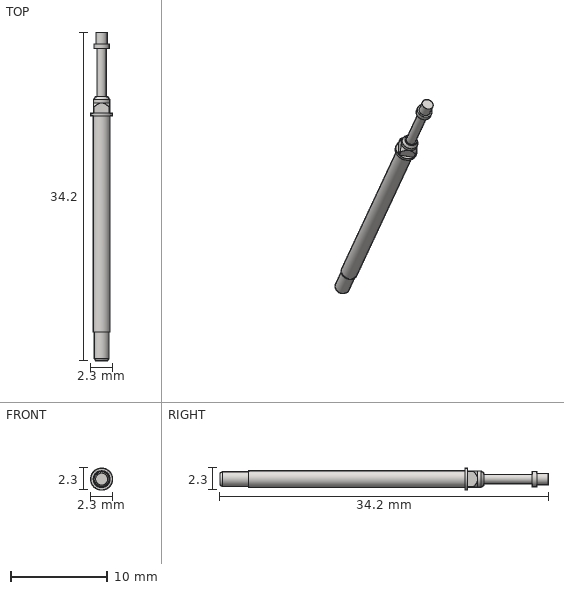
import cadquery as cq

OVERALL_LENGTH = 34.2

TIP_DIAMETER = 1.2
COLLAR_DIAMETER = 1.6
PLUNGER_DIAMETER = 1.0
NECK_DIAMETER = 1.7
FLANGE_DIAMETER = 2.3
BARREL_DIAMETER = 1.75
TAIL_DIAMETER = 1.55

TIP_LENGTH = 1.2
COLLAR_LENGTH = 0.5
PLUNGER_LENGTH = 5.0
NECK_LENGTH = 0.65
SQUARE_LENGTH = 1.05
FLANGE_LENGTH = 0.3
TAIL_LENGTH = 3.0

NECK_CHAMFER_LENGTH = 0.3
NECK_CHAMFER_DEPTH = 0.2
TAIL_CHAMFER_LENGTH = 0.25
TAIL_CHAMFER_DEPTH = 0.15
SQUARE_WIDTH = 1.7
SQUARE_CORNER_DIAMETER = 2.3
SQUARE_LEAD_LENGTH = 0.4

TIP_END = OVERALL_LENGTH / 2
COLLAR_TOP = TIP_END - TIP_LENGTH
PLUNGER_TOP = COLLAR_TOP - COLLAR_LENGTH
NECK_TOP = PLUNGER_TOP - PLUNGER_LENGTH
SQUARE_TOP = NECK_TOP - NECK_LENGTH
FLANGE_TOP = SQUARE_TOP - SQUARE_LENGTH
BARREL_TOP = FLANGE_TOP - FLANGE_LENGTH
TAIL_END = -OVERALL_LENGTH / 2
TAIL_TOP = TAIL_END + TAIL_LENGTH
BARREL_LENGTH = BARREL_TOP - TAIL_TOP


def cylinder(diameter, y_start, length):
    """Round section on the Y axis, running from y_start towards the tip."""
    axis_start = cq.Vector(0, y_start, 0)
    return cq.Workplane(cq.Solid.makeCylinder(diameter / 2, length, axis_start, cq.Vector(0, 1, 0)))


def make_neck():
    """Barrel neck, chamfered where the plunger comes out."""
    neck = cylinder(NECK_DIAMETER, SQUARE_TOP, NECK_LENGTH)
    return neck.faces(">Y").chamfer(NECK_CHAMFER_LENGTH, NECK_CHAMFER_DEPTH)


def make_square():
    """Square section with turned corners and a conical lead towards the neck."""
    block = cq.Workplane("XY").box(SQUARE_WIDTH, SQUARE_LENGTH, SQUARE_WIDTH)
    block = block.translate((0, FLANGE_TOP + SQUARE_LENGTH / 2, 0))
    lead_depth = (SQUARE_CORNER_DIAMETER - NECK_DIAMETER) / 2
    turned = cylinder(SQUARE_CORNER_DIAMETER, FLANGE_TOP, SQUARE_LENGTH)
    turned = turned.faces(">Y").chamfer(SQUARE_LEAD_LENGTH, lead_depth)
    return block.intersect(turned)


def make_tail():
    """Thin tail with a chamfered end."""
    tail = cylinder(TAIL_DIAMETER, TAIL_END, TAIL_LENGTH)
    return tail.faces("<Y").chamfer(TAIL_CHAMFER_LENGTH, TAIL_CHAMFER_DEPTH)


plunger = (
    cylinder(TIP_DIAMETER, COLLAR_TOP, TIP_LENGTH)
    .union(cylinder(COLLAR_DIAMETER, PLUNGER_TOP, COLLAR_LENGTH))
    .union(cylinder(PLUNGER_DIAMETER, NECK_TOP, PLUNGER_LENGTH))
)
barrel = (
    make_neck()
    .union(make_square())
    .union(cylinder(FLANGE_DIAMETER, BARREL_TOP, FLANGE_LENGTH))
    .union(cylinder(BARREL_DIAMETER, TAIL_TOP, BARREL_LENGTH))
    .union(make_tail())
)

result = plunger.union(barrel)